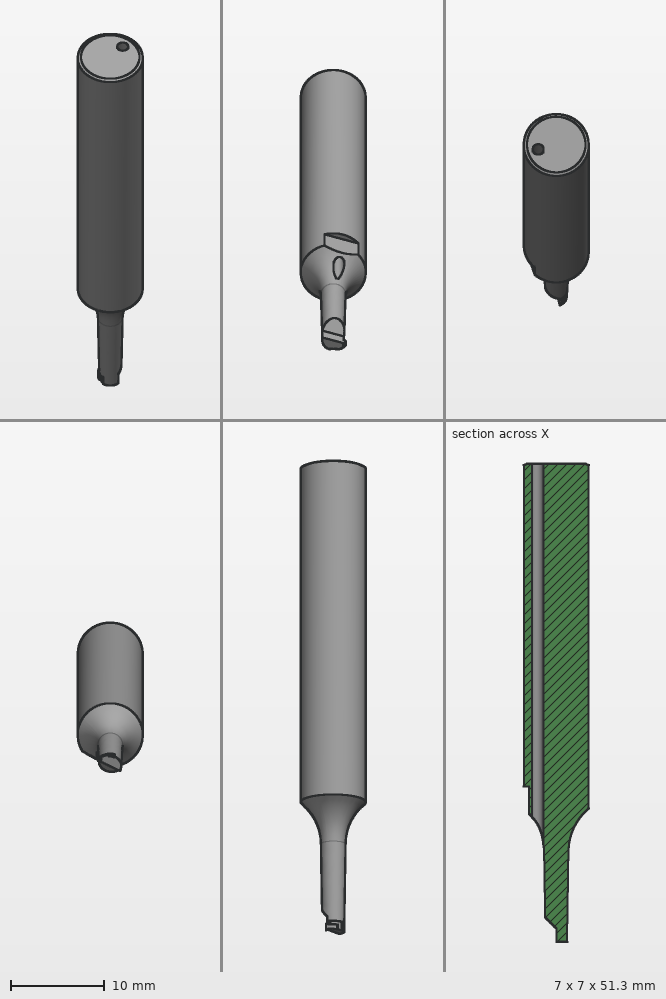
import cadquery as cq
import math

length = 51.3
shank_radius = 3.5
shank_bottom = 14.4
end_chamfer_height = 0.15
end_chamfer_width = 0.35

transition_radius = 6.0
neck_top_radius = 1.35
neck_radius = 1.2
neck_bottom = 0.15

coolant_diameter = 1.2
coolant_offset = 2.0
flat_offset = 2.9
flat_top = 16.8

rake_height = 1.6

head_height = 1.1
core_radius = 1.1
tooth_reach = 1.45
tooth_height = 0.65
tooth_back_x = -0.6
tooth_bulge = 0.15
shoulder_x = -1.2
shoulder_height = 0.9
relief_depth = 0.3


def make_blank():
    """Revolve the shank, transition arc and tapered neck about Z."""
    arc_centre_radius = neck_top_radius + transition_radius
    arc_drop = math.sqrt(transition_radius**2 - (arc_centre_radius - shank_radius)**2)
    neck_top = shank_bottom - arc_drop
    half_sweep = math.asin(arc_drop / transition_radius) / 2
    arc_middle = (
        arc_centre_radius - transition_radius * math.cos(half_sweep),
        neck_top + transition_radius * math.sin(half_sweep),
    )
    return (
        cq.Workplane("XZ")
        .moveTo(0, neck_bottom)
        .lineTo(neck_radius, neck_bottom)
        .lineTo(neck_top_radius, neck_top)
        .threePointArc(arc_middle, (shank_radius, shank_bottom))
        .lineTo(shank_radius, length - end_chamfer_height)
        .lineTo(shank_radius - end_chamfer_width, length)
        .lineTo(0, length)
        .close()
        .revolve(360, (0, 0), (0, 1))
    )


def make_coolant_hole():
    return (
        cq.Workplane("XY")
        .center(0, coolant_offset)
        .circle(coolant_diameter / 2)
        .extrude(length)
    )


def make_relief_flat():
    """Block beyond the flat, below the full-round part of the shank."""
    return cq.Workplane("XY").box(
        2 * shank_radius, shank_radius, flat_top, centered=(True, False, False)
    ).translate((0, flat_offset, 0))


def make_rake_cut():
    """Remove the +Y half of the tip, running out at 45 degrees."""
    return (
        cq.Workplane("YZ")
        .polyline([
            (0, 0),
            (shank_radius, 0),
            (shank_radius, rake_height + shank_radius),
            (0, rake_height),
        ])
        .close()
        .extrude(shank_radius, both=True)
    )


def make_head_clearance():
    """Quarter of the tip at -X, -Y that the cutting head replaces."""
    return cq.Workplane("XY").box(
        shank_radius, shank_radius, head_height, centered=False
    ).translate((-shank_radius, -shank_radius, 0))


def make_head():
    """Recessed core plus a projecting tooth with clearance behind its edge."""
    middle = -core_radius * math.sqrt(0.5)
    core = (
        cq.Workplane("XY", origin=(0, 0, neck_bottom))
        .lineTo(-core_radius, 0)
        .threePointArc((middle, middle), (0, -core_radius))
        .close()
        .extrude(head_height - neck_bottom)
    )
    back_y = -math.sqrt(neck_radius**2 - tooth_back_x**2)
    arc_middle = (
        (tooth_back_x - tooth_reach) / 2 - tooth_bulge,
        back_y / 2 - tooth_bulge,
    )
    tooth = (
        cq.Workplane("XY")
        .lineTo(-tooth_reach, 0)
        .threePointArc(arc_middle, (tooth_back_x, back_y))
        .lineTo(tooth_back_x, 0)
        .close()
        .extrude(tooth_height)
    )
    end_relief = (
        cq.Workplane("YZ")
        .polyline([
            (0, 0),
            (-relief_depth, neck_bottom),
            (-shank_radius, neck_bottom),
            (-shank_radius, 0),
        ])
        .close()
        .extrude(-shank_radius)
    )
    edge_relief = (
        cq.Workplane("XZ")
        .polyline([(-tooth_reach, 0), (shoulder_x, neck_bottom), (0, neck_bottom), (0, 0)])
        .close()
        .extrude(shank_radius)
    )
    web = (
        cq.Workplane("XZ")
        .polyline([
            (-tooth_reach, tooth_height),
            (shoulder_x, shoulder_height),
            (shoulder_x, head_height),
            (-core_radius / 2, head_height),
            (-core_radius / 2, tooth_height),
        ])
        .close()
        .extrude(relief_depth)
    )
    return core.union(tooth.cut(end_relief).cut(edge_relief)).union(web)


result = (
    make_blank()
    .cut(make_coolant_hole())
    .cut(make_relief_flat())
    .cut(make_rake_cut())
    .cut(make_head_clearance())
    .union(make_head())
)